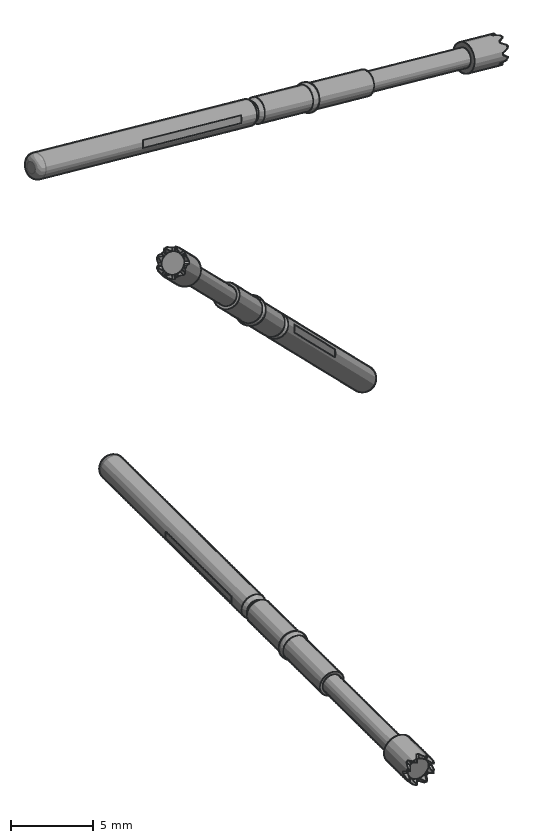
import cadquery as cq
import math

LENGTH = 38.4
TIP_Y = LENGTH / 2
TAIL_Y = -LENGTH / 2

HEAD_RADIUS = 1.0
HEAD_LENGTH = 2.9
PLUNGER_RADIUS = 0.65
PLUNGER_LENGTH = 8.1
BARREL_RADIUS = 0.85

COLLAR_RADIUS = 0.95
COLLAR_WIDTH = 0.5
COLLAR_OFFSET = 4.5

GROOVE_RADIUS = 0.65
GROOVE_WIDTH = 0.65
GROOVE_OFFSET = 8.95

TAIL_ROUND = 0.45

FLAT_OFFSET = 10.85
FLAT_LENGTH = 8.05
FLAT_DISTANCE = 0.8

TOOTH_COUNT = 8
TOOTH_TIP_RADIUS = 0.9
TIP_BEVEL = 0.2
HOLLOW_DEPTH = 0.45
HOLLOW_FLOOR_RADIUS = 0.73
NOTCH_ROOT_WIDTH = 0.15
NOTCH_RIM_DEPTH = 0.58

HEAD_BASE_Y = TIP_Y - HEAD_LENGTH
BARREL_Y = HEAD_BASE_Y - PLUNGER_LENGTH


def make_body():
    """Revolve the half outline of head, plunger and barrel about Y."""
    collar_y = BARREL_Y - COLLAR_OFFSET
    collar_height = COLLAR_RADIUS - BARREL_RADIUS
    groove_y = BARREL_Y - GROOVE_OFFSET
    arc_x = BARREL_RADIUS - TAIL_ROUND
    arc_y = TAIL_Y + TAIL_ROUND
    arc_reach = TAIL_ROUND * math.sqrt(0.5)
    outline = (
        cq.Workplane("XY")
        .moveTo(0, TIP_Y - HOLLOW_DEPTH)
        .lineTo(HOLLOW_FLOOR_RADIUS, TIP_Y - HOLLOW_DEPTH)
        .lineTo(TOOTH_TIP_RADIUS, TIP_Y)
        .lineTo(HEAD_RADIUS, TIP_Y - TIP_BEVEL)
        .lineTo(HEAD_RADIUS, HEAD_BASE_Y)
        .lineTo(PLUNGER_RADIUS, HEAD_BASE_Y)
        .lineTo(PLUNGER_RADIUS, BARREL_Y)
        .lineTo(BARREL_RADIUS, BARREL_Y)
        .lineTo(BARREL_RADIUS, collar_y)
        .ellipseArc(collar_height, COLLAR_WIDTH / 2, -90, 90, sense=-1)
        .lineTo(BARREL_RADIUS, groove_y)
        .lineTo(GROOVE_RADIUS, groove_y - GROOVE_WIDTH / 2)
        .lineTo(BARREL_RADIUS, groove_y - GROOVE_WIDTH)
        .lineTo(BARREL_RADIUS, arc_y)
        .threePointArc((arc_x + arc_reach, arc_y - arc_reach), (arc_x, TAIL_Y))
        .lineTo(0, TAIL_Y)
        .close()
    )
    return outline.revolve(360, (0, 0, 0), (0, 1, 0))


def make_notch_cutters():
    """Flat-bottomed notches through the crown wall, sloping down outward and leaving pointed teeth."""
    step_angle = 360 / TOOTH_COUNT
    half_step = math.radians(step_angle / 2)
    fall = (NOTCH_RIM_DEPTH - HOLLOW_DEPTH) / (HEAD_RADIUS - HOLLOW_FLOOR_RADIUS)
    root_y = TIP_Y - HOLLOW_DEPTH + fall * HOLLOW_FLOOR_RADIUS

    root_depth_at_tip = TIP_Y - root_y + fall * TOOTH_TIP_RADIUS * math.cos(half_step)
    tilt = math.atan(fall)
    height_to_tip = root_depth_at_tip * math.cos(tilt)
    wall_run = (TOOTH_TIP_RADIUS * math.sin(half_step) - NOTCH_ROOT_WIDTH / 2) / height_to_tip

    cutter_height = 2 * NOTCH_RIM_DEPTH
    cutter_half_width = NOTCH_ROOT_WIDTH / 2 + wall_run * cutter_height
    notch = (
        cq.Workplane("XY")
        .moveTo(-NOTCH_ROOT_WIDTH / 2, root_y)
        .lineTo(NOTCH_ROOT_WIDTH / 2, root_y)
        .lineTo(cutter_half_width, root_y + cutter_height)
        .lineTo(-cutter_half_width, root_y + cutter_height)
        .close()
        .extrude(2 * HEAD_RADIUS)
        .rotate((0, root_y, 0), (1, root_y, 0), math.degrees(tilt))
    )
    cutters = notch
    for index in range(1, TOOTH_COUNT):
        cutters = cutters.union(notch.rotate((0, 0, 0), (0, 1, 0), index * step_angle))
    return cutters


def make_flat_cutters():
    """Blocks standing outside the two flats on the barrel's sides."""
    flat_y = BARREL_Y - FLAT_OFFSET - FLAT_LENGTH / 2
    block_width = BARREL_RADIUS
    block_x = FLAT_DISTANCE + block_width / 2
    return (
        cq.Workplane("XY")
        .pushPoints([(-block_x, flat_y), (block_x, flat_y)])
        .rect(block_width, FLAT_LENGTH)
        .extrude(BARREL_RADIUS, both=True)
    )


result = make_body().cut(make_notch_cutters()).cut(make_flat_cutters())